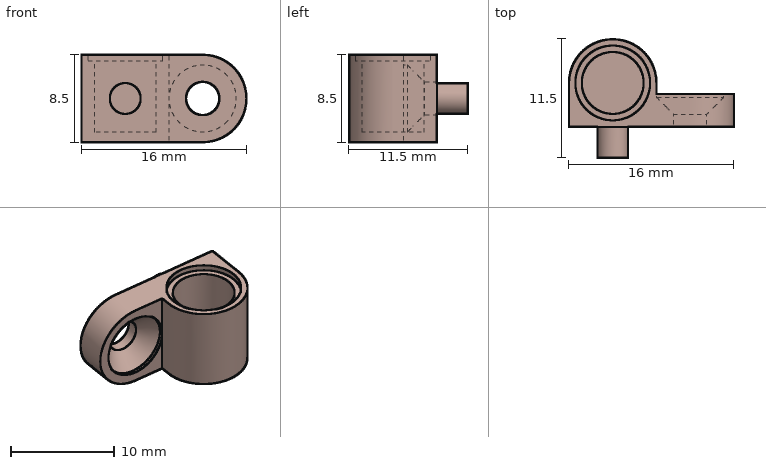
import cadquery as cq

length = 16.0
height = 8.5
end_radius = height / 2
plate_thickness = 3.2

cup_radius = height / 2
bore_diameter = 6.0
bore_floor = 1.0
counterbore_diameter = 7.25
counterbore_depth = 0.6

pin_diameter = 3.0
pin_length = 3.0
hole_diameter = 3.2
head_diameter = 6.5
head_recess_depth = 0.35
hole_x = length - end_radius


def make_plate():
    """Plate standing on the XZ plane, with a full-round right end."""
    return (
        cq.Workplane("XZ")
        .moveTo(0, 0)
        .lineTo(hole_x, 0)
        .threePointArc((length, height / 2), (hole_x, height))
        .lineTo(0, height)
        .close()
        .extrude(-plate_thickness)
    )


def make_cup_body():
    """Upright block with a half-round back."""
    return (
        cq.Workplane("XY")
        .moveTo(0, 0)
        .lineTo(2 * cup_radius, 0)
        .lineTo(2 * cup_radius, cup_radius)
        .threePointArc((cup_radius, 2 * cup_radius), (0, cup_radius))
        .close()
        .extrude(height)
    )


def make_cup_cavity():
    """Blind bore with a shallow counterbore, open at the top."""
    bore = (
        cq.Workplane("XY", origin=(cup_radius, cup_radius, bore_floor))
        .circle(bore_diameter / 2)
        .extrude(height - bore_floor)
    )
    counterbore = (
        cq.Workplane("XY", origin=(cup_radius, cup_radius, height - counterbore_depth))
        .circle(counterbore_diameter / 2)
        .extrude(counterbore_depth)
    )
    return bore.union(counterbore)


def make_pin():
    """Pin pointing forward, in line with the cup axis."""
    return (
        cq.Workplane("XZ", origin=(cup_radius, 0, height / 2))
        .circle(pin_diameter / 2)
        .extrude(pin_length)
    )


def make_hole():
    """Screw hole concentric with the rounded end, with a 90 degree countersink at the back."""
    hole_radius = hole_diameter / 2
    head_radius = head_diameter / 2
    cone_end = plate_thickness - head_recess_depth
    cone_start = cone_end - (head_radius - hole_radius)
    return (
        cq.Workplane("XY")
        .lineTo(hole_radius, 0)
        .lineTo(hole_radius, cone_start)
        .lineTo(head_radius, cone_end)
        .lineTo(head_radius, plate_thickness)
        .lineTo(0, plate_thickness)
        .close()
        .revolve(360, (0, 0, 0), (0, 1, 0))
        .translate((hole_x, 0, height / 2))
    )


body = make_plate().union(make_cup_body())
result = body.cut(make_cup_cavity()).cut(make_hole()).union(make_pin())